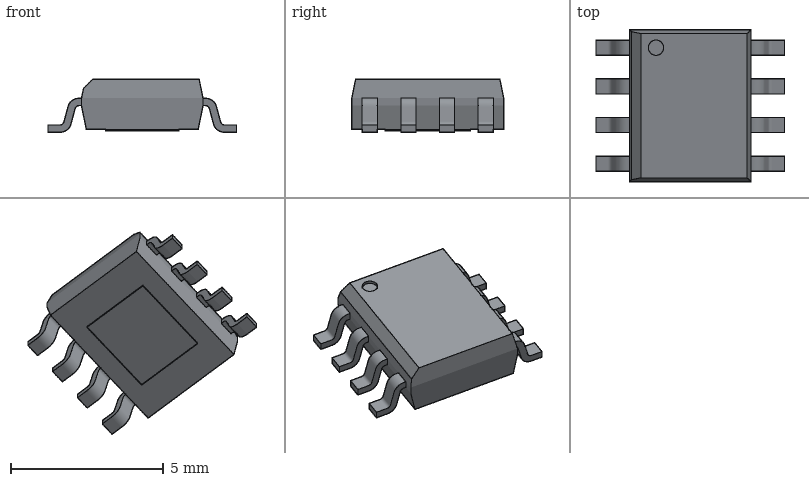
import cadquery as cq
import math

SPAN = 6.2
HEIGHT = 1.75
HOUSING_WIDTH = 4.0
HOUSING_LENGTH = 5.0

STANDOFF = 0.1
DRAFT_ANGLE = math.radians(11.5)
BEVEL = 0.31
DIMPLE_DIAMETER = 0.5
DIMPLE_DEPTH = 0.1
DIMPLE_INSET = 0.875

LEADS_PER_SIDE = 4
LEAD_PITCH = 1.27
LEAD_WIDTH = 0.5
LEAD_THICKNESS = 0.25
LEAD_TOP = 1.12
FOOT_LENGTH = 0.4
INNER_BEND = 0.125
LEG_TILT = math.radians(15)

PAD_WIDTH = 2.4
PAD_LENGTH = 2.8
PAD_THICKNESS = 0.05

HALF_WIDTH = HOUSING_WIDTH / 2
HALF_LENGTH = HOUSING_LENGTH / 2
LEAD_UNDERSIDE = LEAD_TOP - LEAD_THICKNESS
OUTER_BEND = INNER_BEND + LEAD_THICKNESS
TOP_TAPER = (HEIGHT - LEAD_TOP) * math.tan(DRAFT_ANGLE)
BOTTOM_TAPER = (LEAD_UNDERSIDE - STANDOFF) * math.tan(DRAFT_ANGLE)
LEAD_ROW_LENGTH = (LEADS_PER_SIDE - 1) * LEAD_PITCH
LEAD_POSITIONS = [i * LEAD_PITCH - LEAD_ROW_LENGTH / 2 for i in range(LEADS_PER_SIDE)]


def extrude_along_y(outline, length):
    """Extrude a closed XZ outline by length, centred on Y = 0."""
    return outline.extrude(length / 2, both=True)


def make_housing():
    bottom_half = HALF_WIDTH - BOTTOM_TAPER
    top_half = HALF_WIDTH - TOP_TAPER
    bevel_foot_z = HEIGHT - BEVEL
    bevel_foot_x = -HALF_WIDTH + (bevel_foot_z - LEAD_TOP) * math.tan(DRAFT_ANGLE)
    outline = (
        cq.Workplane("XZ")
        .moveTo(-bottom_half, STANDOFF)
        .lineTo(bottom_half, STANDOFF)
        .lineTo(HALF_WIDTH, LEAD_UNDERSIDE)
        .lineTo(HALF_WIDTH, LEAD_TOP)
        .lineTo(top_half, HEIGHT)
        .lineTo(bevel_foot_x + BEVEL, HEIGHT)
        .lineTo(bevel_foot_x, bevel_foot_z)
        .lineTo(-HALF_WIDTH, LEAD_TOP)
        .lineTo(-HALF_WIDTH, LEAD_UNDERSIDE)
        .close()
    )
    housing = extrude_along_y(outline, HOUSING_LENGTH)

    side_outline = (
        cq.Workplane("YZ")
        .moveTo(-HALF_LENGTH, STANDOFF)
        .lineTo(HALF_LENGTH, STANDOFF)
        .lineTo(HALF_LENGTH, LEAD_TOP)
        .lineTo(HALF_LENGTH - TOP_TAPER, HEIGHT)
        .lineTo(-HALF_LENGTH + TOP_TAPER, HEIGHT)
        .lineTo(-HALF_LENGTH, LEAD_TOP)
        .close()
    )
    housing = housing.intersect(side_outline.extrude(HALF_WIDTH, both=True))

    dimple = (
        cq.Workplane("XY", origin=(0, 0, HEIGHT - DIMPLE_DEPTH))
        .center(-HALF_WIDTH + DIMPLE_INSET, LEAD_POSITIONS[-1])
        .circle(DIMPLE_DIAMETER / 2)
        .extrude(DIMPLE_DEPTH)
    )
    return housing.cut(dimple)


def bend_point(center, radius, angle):
    """Point on a bend, with the angle measured from +X towards +Z."""
    return (center[0] + radius * math.cos(angle), center[1] + radius * math.sin(angle))


def make_lead(y, side):
    """Gull-wing lead centred on y; side is 1 for the +X row and -1 for the -X row."""
    tip_x = SPAN / 2
    lower_center_z = LEAD_THICKNESS + INNER_BEND
    upper_center_z = LEAD_TOP - OUTER_BEND
    lower_center_x = tip_x - FOOT_LENGTH
    bend_sum = OUTER_BEND + INNER_BEND
    leg_drop = upper_center_z - lower_center_z + bend_sum * math.sin(LEG_TILT)
    leg_run = leg_drop * math.tan(LEG_TILT)
    upper_center_x = lower_center_x - leg_run - bend_sum * math.cos(LEG_TILT)
    upper = (upper_center_x, upper_center_z)
    lower = (lower_center_x, lower_center_z)

    up = math.pi / 2
    down = -up
    upper_end = LEG_TILT
    upper_mid = (up + upper_end) / 2
    lower_start = LEG_TILT - math.pi
    lower_mid = (lower_start + down) / 2

    outline = (
        cq.Workplane("XZ")
        .moveTo(HALF_WIDTH, LEAD_TOP)
        .lineTo(*bend_point(upper, OUTER_BEND, up))
        .threePointArc(bend_point(upper, OUTER_BEND, upper_mid), bend_point(upper, OUTER_BEND, upper_end))
        .lineTo(*bend_point(lower, INNER_BEND, lower_start))
        .threePointArc(bend_point(lower, INNER_BEND, lower_mid), bend_point(lower, INNER_BEND, down))
        .lineTo(tip_x, LEAD_THICKNESS)
        .lineTo(tip_x, 0)
        .lineTo(*bend_point(lower, OUTER_BEND, down))
        .threePointArc(bend_point(lower, OUTER_BEND, lower_mid), bend_point(lower, OUTER_BEND, lower_start))
        .lineTo(*bend_point(upper, INNER_BEND, upper_end))
        .threePointArc(bend_point(upper, INNER_BEND, upper_mid), bend_point(upper, INNER_BEND, up))
        .lineTo(HALF_WIDTH, LEAD_UNDERSIDE)
        .close()
    )
    lead = extrude_along_y(outline, LEAD_WIDTH)
    if side < 0:
        lead = lead.mirror("YZ")
    return lead.translate((0, y, 0))


def make_pad():
    return (
        cq.Workplane("XY", origin=(0, 0, STANDOFF))
        .rect(PAD_WIDTH, PAD_LENGTH)
        .extrude(-PAD_THICKNESS)
    )


housing = make_housing()
pad = make_pad()
leads = [make_lead(y, side) for side in (-1, 1) for y in LEAD_POSITIONS]

result = cq.Compound.makeCompound([housing.val(), pad.val(), *[lead.val() for lead in leads]])